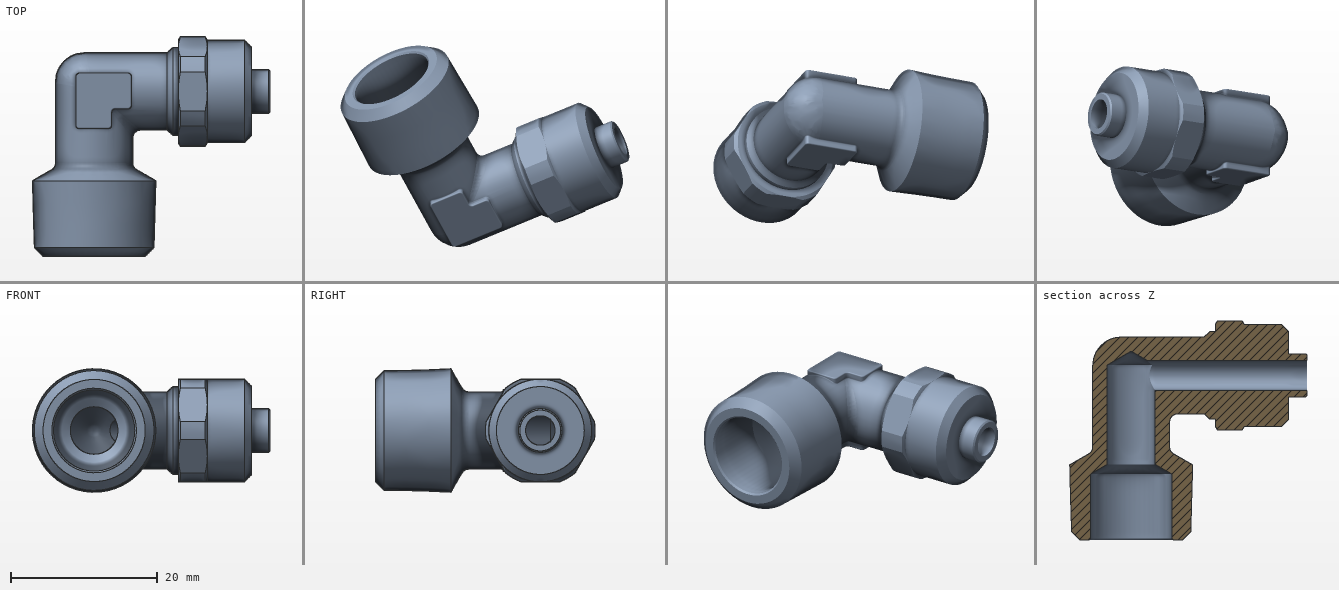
import cadquery as cq
import math


body_radius = 5.3
outer_bend_radius = 4.0
inner_bend_radius = 1.0

neck_fillet = 1.0
shoulder_angle = math.radians(60)
shoulder_end = 12.2
socket_radius = 8.43
socket_chamfer_start = 21.3
socket_tip_radius = 8.17
socket_mouth_radius = 6.97
socket_end = 22.5

wide_bore_radius = 5.55
wide_bore_end = 13.5
mouth_chamfer = 0.23
narrow_bore_radius = 3.25
narrow_bore_overrun = 1.4
drill_half_angle = math.radians(60)

collar_cone_start = 9.95
collar_cone_end = 10.75
collar_radius = 6.0
nut_start = 11.48
nut_end = 15.45
nut_half_flats = 7.0
nut_corner_radius = 7.5
nut_bevel_angle = math.radians(30)
sleeve_end = 21.5
sleeve_chamfer = 1.0
stub_radius = 2.98
stub_end = 24.0
stub_chamfer = 0.2
tube_bore_radius = 2.0

pad_height = 5.6
pad_half_width = 2.5
pad_reach = 5.1
pad_notch = 2.4
pad_corner_radius = 0.5
pad_edge_fillet = 0.15
pad_foot_fillet = 0.145
bend_height = 4.8


def turned_on_y(points):
    """Solid of revolution about Y from (radius, distance towards -Y) points."""
    outline = [(radius, -distance) for radius, distance in points]
    return cq.Workplane("XY").polyline(outline).close().revolve(360, (0, 0), (0, 1))


def turned_on_x(points):
    """Solid of revolution about X from (distance towards +X, radius) points."""
    return cq.Workplane("XY").polyline(points).close().revolve(360, (0, 0), (1, 0))


def make_sharp_elbow():
    """Two equal cylinders cut off along the mitre plane y = -x and joined there."""
    overlap = 2 * body_radius
    x_arm = cq.Workplane("YZ", origin=(-overlap, 0, 0)).circle(body_radius)
    x_arm = x_arm.extrude(overlap + nut_start)
    y_arm = cq.Workplane("XZ", origin=(0, overlap, 0)).circle(body_radius)
    y_arm = y_arm.extrude(overlap + shoulder_end)
    far = 2 * stub_end
    triangle = cq.Workplane("XY").polyline([(-far, far), (far, -far), (far, far)]).close()
    x_side = triangle.extrude(far, both=True)
    return x_arm.intersect(x_side).union(y_arm.cut(x_side))


def round_mitre(bend, side, radius):
    """Round the mitre edges on the outer (side = -1) or inner (side = 1) half of the bend."""
    corner = (0, 0, -body_radius)
    far_corner = (side * 2 * body_radius, -side * 2 * body_radius, body_radius)
    return bend.edges(cq.selectors.BoxSelector(corner, far_corner)).edges("%ELLIPSE").fillet(radius)


def make_elbow():
    """Mitred elbow with its outer and inner mitre edges rounded."""
    sharp = make_sharp_elbow()
    span = 4 * stub_end
    band = cq.Workplane("XY").box(span, span, 2 * bend_height)
    bend = sharp.intersect(band)
    bend = round_mitre(bend, -1, outer_bend_radius)
    bend = round_mitre(bend, 1, inner_bend_radius)
    return bend.union(sharp.cut(band))


def make_pads():
    """L-shaped block whose two ends stand out as the flat pads."""
    outline = [
        (-pad_half_width, pad_half_width),
        (pad_reach, pad_half_width),
        (pad_reach, -pad_notch),
        (pad_notch, -pad_notch),
        (pad_notch, -pad_reach),
        (-pad_half_width, -pad_reach),
    ]
    block = cq.Workplane("XY").polyline(outline).close().extrude(pad_height, both=True)
    block = block.edges("|Z").fillet(pad_corner_radius)
    return block.faces("<Z or >Z").edges().fillet(pad_edge_fillet)


def add_pads(elbow):
    """Join the pads to the elbow and blend their walls into it."""
    padded = elbow.union(make_pads())
    margin = 0.03
    wall_top = pad_height - pad_edge_fillet - margin
    for side in (1, -1):
        foot_box = cq.selectors.BoxSelector(
            (-pad_half_width - margin, -pad_reach - margin, side * pad_half_width),
            (pad_reach + margin, pad_half_width + margin, side * wall_top),
            boundingbox=True,
        )
        padded = padded.edges(foot_box).fillet(pad_foot_fillet)
    return padded


def make_socket():
    """Flared neck, conical shoulder and slightly tapered socket."""
    arc_centre = body_radius + neck_fillet
    arc_mid = shoulder_angle / 2
    arc_end_radius = arc_centre - neck_fillet * math.cos(shoulder_angle)
    arc_end = shoulder_end - (socket_radius - arc_end_radius) / math.tan(shoulder_angle)
    arc_start = arc_end - neck_fillet * math.sin(shoulder_angle)
    arc_middle = (arc_centre - neck_fillet * math.cos(arc_mid), -arc_start - neck_fillet * math.sin(arc_mid))
    profile = (
        cq.Workplane("XY")
        .moveTo(0, -arc_start)
        .lineTo(body_radius, -arc_start)
        .threePointArc(arc_middle, (arc_end_radius, -arc_end))
        .lineTo(socket_radius, -shoulder_end)
        .lineTo(socket_tip_radius, -socket_chamfer_start)
        .lineTo(socket_mouth_radius, -socket_end)
        .lineTo(0, -socket_end)
        .close()
    )
    return profile.revolve(360, (0, 0), (0, 1))


def make_nut():
    """Hexagon with two flats facing up and down, corners turned off and both ends bevelled."""
    corner_to_corner = 2 * nut_half_flats / math.cos(math.pi / 6)
    hexagon = cq.Workplane("YZ", origin=(nut_start, 0, 0)).polygon(6, corner_to_corner)
    hexagon = hexagon.extrude(nut_end - nut_start)
    bevel = (nut_corner_radius - nut_half_flats) * math.tan(nut_bevel_angle)
    envelope = turned_on_x([
        (nut_start, 0),
        (nut_start, nut_half_flats),
        (nut_start + bevel, nut_corner_radius),
        (nut_end - bevel, nut_corner_radius),
        (nut_end, nut_half_flats),
        (nut_end, 0),
    ])
    return hexagon.intersect(envelope)


def make_nut_arm():
    """Collar, nut, sleeve and tube stub."""
    collar = turned_on_x([
        (collar_cone_start, 0),
        (collar_cone_start, body_radius),
        (collar_cone_end, collar_radius),
        (nut_start, collar_radius),
        (nut_start, 0),
    ])
    sleeve = turned_on_x([
        (nut_end, 0),
        (nut_end, nut_half_flats),
        (sleeve_end - sleeve_chamfer, nut_half_flats),
        (sleeve_end, nut_half_flats - sleeve_chamfer),
        (sleeve_end, stub_radius),
        (stub_end - stub_chamfer, stub_radius),
        (stub_end, stub_radius - stub_chamfer),
        (stub_end, 0),
    ])
    return collar.union(make_nut()).union(sleeve)


def make_bores():
    """Stepped drilling in the socket arm, met by the tube bore of the nut arm."""
    wide_cone = (wide_bore_radius - narrow_bore_radius) / math.tan(drill_half_angle)
    tip_cone = narrow_bore_radius / math.tan(drill_half_angle)
    stepped_bore = turned_on_y([
        (0, socket_end),
        (wide_bore_radius + mouth_chamfer, socket_end),
        (wide_bore_radius, socket_end - mouth_chamfer),
        (wide_bore_radius, wide_bore_end),
        (narrow_bore_radius, wide_bore_end - wide_cone),
        (narrow_bore_radius, -narrow_bore_overrun),
        (0, -narrow_bore_overrun - tip_cone),
    ])
    tube_bore = cq.Workplane("YZ").circle(tube_bore_radius).extrude(stub_end)
    return stepped_bore.union(tube_bore)


body = add_pads(make_elbow())
result = body.union(make_socket()).union(make_nut_arm()).cut(make_bores())